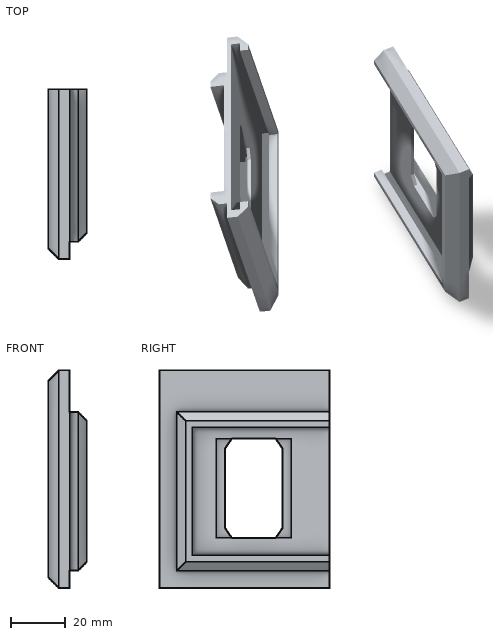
import cadquery as cq

height = 79.9
depth = 62.4
plate_thickness = 7.8
plate_chamfer = plate_thickness / 2

total_thickness = 14.1
boss_chamfer = 3.2
boss_margin = 6.4
boss_top = 64.55

lip_width = 2.5
lip_thickness = 3.1
channel_depth = 6.5
undercut = 3.2

window_start = 24.1
window_end = 45.05
window_bottom = 18.4
window_top = 54.8
corner_run = 2.5
corner_rise = 3.6
window_web = 1.3
relief_widening = 3.2
relief_end = 9.0


def block(x_range, y_range, z_range):
    """Box between the given limits on each axis."""
    limits = (x_range, y_range, z_range)
    size = [end - start for start, end in limits]
    corner = tuple(start for start, end in limits)
    return cq.Workplane("XY").box(*size, centered=False).translate(corner)


def chamfered_block(x_range, y_range, z_range, face, chamfer):
    """Block with one X face chamfered on every side except its +Y end."""
    body = block(x_range, y_range, z_range)
    return body.faces(face).edges("|Y or <Y").chamfer(chamfer)


def window_cutter():
    """Rectangle with cut corners, extruded through the full thickness."""
    points = [
        (window_start + corner_run, window_bottom),
        (window_end - corner_run, window_bottom),
        (window_end, window_bottom + corner_rise),
        (window_end, window_top - corner_rise),
        (window_end - corner_run, window_top),
        (window_start + corner_run, window_top),
        (window_start, window_top - corner_rise),
        (window_start, window_bottom + corner_rise),
    ]
    return cq.Workplane("YZ").polyline(points).close().extrude(total_thickness)


plate = chamfered_block((0, plate_thickness), (0, depth), (0, height), "<X", plate_chamfer)
boss = chamfered_block(
    (plate_thickness, total_thickness), (boss_margin, depth), (boss_margin, boss_top), ">X", boss_chamfer
)

mouth_margin = plate_chamfer + lip_width
slot_margin = mouth_margin - undercut
mouth = block((0, lip_thickness), (mouth_margin, depth), (mouth_margin, height - mouth_margin))
slot = block((lip_thickness, channel_depth), (slot_margin, depth), (slot_margin, height - slot_margin))

relief = block(
    (channel_depth + window_web, relief_end),
    (window_start - relief_widening, window_end + relief_widening),
    (window_bottom, window_top),
)

rim = boss_chamfer + lip_width
rear_pocket = block(
    (relief_end, total_thickness), (boss_margin + rim, depth), (boss_margin + rim, boss_top - rim)
)

result = plate.union(boss)
for cutter in (mouth, slot, window_cutter(), relief, rear_pocket):
    result = result.cut(cutter)